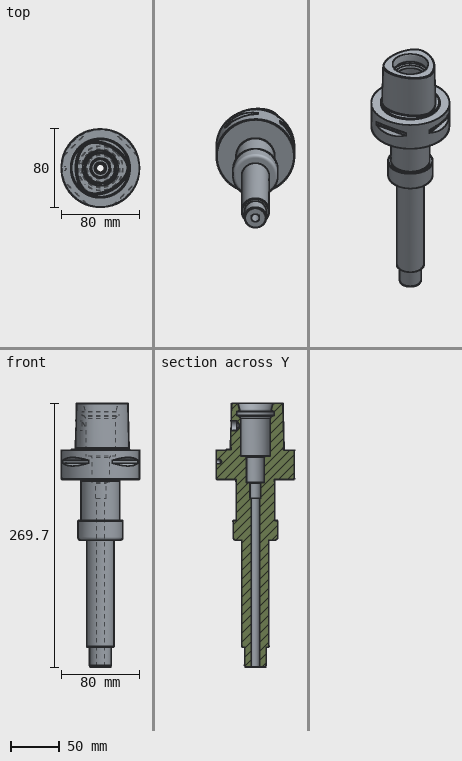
import cadquery as cq
import math

TOTAL_LENGTH = 269.7
TIP_TOP = 20.2
COLLAR_BOTTOM = 129.5
COLLAR_TOP = 150.0
FLANGE_BOTTOM = 191.5
FLANGE_TOP = 221.7
RAISED_FACE_HEIGHT = 0.8
RAISED_FACE_TOP = FLANGE_TOP + RAISED_FACE_HEIGHT
POLYGON_BOTTOM = 223.9

TIP_DIAMETER = 22.5
SHANK_DIAMETER = 28.3
COLLAR_DIAMETER = 46.0
NECK_DIAMETER = 40.0
FLANGE_DIAMETER = 80.0
RAISED_BASE_DIAMETER = 61.0
RAISED_FACE_DIAMETER = 58.5

SMALL_CHAMFER = 0.8
TIP_CHAMFER_HEIGHT = 1.5
COLLAR_FILLET = 3.2
NECK_RELIEF_HEIGHT = 1.5
NECK_RELIEF_DEPTH = 0.3

POLYGON_WIDTH = 55.0
POLYGON_RADIUS = POLYGON_WIDTH / 2
LOBE_COUNT = 3
LOBE_PITCH = 360 / LOBE_COUNT
LOBE_HEIGHT = 2.0
TAPER = 1 / 20
LOBE_HALF_ANGLE = 26.5
UNDERCUT_DEPTH = 0.67
FACE_POINTS = 12

MOUTH_DIAMETER = 36.5
LEAD_IN_DIAMETER = 35.0
LEAD_IN_TOP = 1.0
LIP_DIAMETER = 32.0
LIP_TOP = 6.5
LIP_BOTTOM = 8.0
CLAMP_GROOVE_DIAMETER = 38.0
CLAMP_GROOVE_TOP = 8.5
CLAMP_GROOVE_BOTTOM = 12.5
SEAT_DIAMETER = 33.2
SEAT_TOP = 13.2
INNER_DIAMETER = 30.0
INNER_TOP = 15.5
INNER_DEPTH = 54.0
THREAD_DIAMETER = 17.8
THREAD_CHAMFER = 1.3
THREAD_DEPTH = 81.0
PILOT_DIAMETER = 10.5
PILOT_CHAMFER = 0.8
PILOT_DEPTH = 97.0
COOLANT_DIAMETER = 8.4

GROOVE_LEVEL = 209.8
GROOVE_FLOOR_SPACING = 71.0
GROOVE_FLOOR_DISTANCE = GROOVE_FLOOR_SPACING / 2
GROOVE_FLOOR_WIDTH = 3.2
GROOVE_WALL_HEIGHT = 0.5
GROOVE_SIDE_ANGLE = 35
GROOVE_COUNT = 4
FIRST_GROOVE_DIRECTION = 45
DRILL_POINT_ANGLE = 118
SIDE_HOLE_DIAMETER = 9.7
SIDE_HOLE_LEVEL = 246.8
SIDE_HOLE_DEPTH = 6.0
PIN_HOLE_DIAMETER = 4.0
PIN_HOLE_LEVEL = GROOVE_LEVEL
PIN_HOLE_DEPTH = 4.0


def revolve_profile(points):
    """Turn a closed (radius, z) outline around the Z axis."""
    return cq.Workplane("XZ").polyline(points).close().revolve(360, (0, 0, 0), (0, 1, 0))


def spindle():
    tip = TIP_DIAMETER / 2
    shank = SHANK_DIAMETER / 2
    neck = NECK_DIAMETER / 2
    relief = neck - NECK_RELIEF_DEPTH
    flange = FLANGE_DIAMETER / 2
    c = SMALL_CHAMFER
    return revolve_profile([
        (0, 0),
        (tip - c, 0),
        (tip, TIP_CHAMFER_HEIGHT),
        (tip, TIP_TOP),
        (shank - c, TIP_TOP),
        (shank, TIP_TOP + c),
        (shank, COLLAR_TOP),
        (neck, COLLAR_TOP),
        (neck, FLANGE_BOTTOM - NECK_RELIEF_HEIGHT),
        (relief, FLANGE_BOTTOM - NECK_RELIEF_HEIGHT),
        (relief, FLANGE_BOTTOM),
        (flange - c, FLANGE_BOTTOM),
        (flange, FLANGE_BOTTOM + c),
        (flange, FLANGE_TOP),
        (RAISED_BASE_DIAMETER / 2, FLANGE_TOP),
        (RAISED_FACE_DIAMETER / 2, RAISED_FACE_TOP),
        (0, RAISED_FACE_TOP),
    ])


def collar():
    ring = cq.Workplane("XY", origin=(0, 0, COLLAR_BOTTOM)).circle(COLLAR_DIAMETER / 2)
    ring = ring.extrude(COLLAR_TOP - COLLAR_BOTTOM)
    ring = ring.faces("<Z").edges().fillet(COLLAR_FILLET)
    return ring.faces(">Z").edges().chamfer(SMALL_CHAMFER)


def polygon_point(radius, normal_angle, z):
    """Point of the constant-width lobed curve where its outward normal has the given angle."""
    t = math.radians(normal_angle)
    support = radius + LOBE_HEIGHT * math.cos(LOBE_COUNT * t)
    slope = -LOBE_COUNT * LOBE_HEIGHT * math.sin(LOBE_COUNT * t)
    x = support * math.cos(t) - slope * math.sin(t)
    y = support * math.sin(t) + slope * math.cos(t)
    return cq.Vector(x, y, z)


def polygon_wire(radius, z):
    edges = []
    for lobe in range(LOBE_COUNT):
        lobe_start = LOBE_PITCH * lobe - LOBE_HALF_ANGLE
        lobe_end = LOBE_PITCH * lobe + LOBE_HALF_ANGLE
        for start, end in ((lobe_start, lobe_end), (lobe_end, lobe_start + LOBE_PITCH)):
            step = (end - start) / FACE_POINTS
            points = [polygon_point(radius, start + step * i, z) for i in range(FACE_POINTS + 1)]
            edges.append(cq.Edge.makeSpline(points))
    return cq.Wire.assembleEdges(edges)


def polygon_section(bottom_radius, bottom, top_radius, top):
    wires = [polygon_wire(bottom_radius, bottom), polygon_wire(top_radius, top)]
    return cq.Workplane(cq.Solid.makeLoft(wires, True))


def polygon_taper():
    chamfer_level = TOTAL_LENGTH - SMALL_CHAMFER
    top_radius = POLYGON_RADIUS - TAPER / 2 * (chamfer_level - POLYGON_BOTTOM)
    undercut_radius = POLYGON_RADIUS - UNDERCUT_DEPTH
    undercut = polygon_section(undercut_radius, FLANGE_TOP, undercut_radius, POLYGON_BOTTOM)
    taper = polygon_section(POLYGON_RADIUS, POLYGON_BOTTOM, top_radius, chamfer_level)
    chamfer = polygon_section(top_radius, chamfer_level, top_radius - SMALL_CHAMFER, TOTAL_LENGTH)
    return undercut.union(taper).union(chamfer)


def bore():
    steps = [
        (MOUTH_DIAMETER / 2, 0),
        (LEAD_IN_DIAMETER / 2, LEAD_IN_TOP),
        (LIP_DIAMETER / 2, LIP_TOP),
        (LIP_DIAMETER / 2, LIP_BOTTOM),
        (CLAMP_GROOVE_DIAMETER / 2, CLAMP_GROOVE_TOP),
        (CLAMP_GROOVE_DIAMETER / 2, CLAMP_GROOVE_BOTTOM),
        (SEAT_DIAMETER / 2, SEAT_TOP),
        (INNER_DIAMETER / 2, INNER_TOP),
        (INNER_DIAMETER / 2, INNER_DEPTH),
        (THREAD_DIAMETER / 2 + THREAD_CHAMFER, INNER_DEPTH),
        (THREAD_DIAMETER / 2, INNER_DEPTH + THREAD_CHAMFER),
        (THREAD_DIAMETER / 2, THREAD_DEPTH),
        (PILOT_DIAMETER / 2 + PILOT_CHAMFER, THREAD_DEPTH),
        (PILOT_DIAMETER / 2, THREAD_DEPTH + PILOT_CHAMFER),
        (PILOT_DIAMETER / 2, PILOT_DEPTH),
        (COOLANT_DIAMETER / 2, PILOT_DEPTH),
        (COOLANT_DIAMETER / 2, TOTAL_LENGTH),
    ]
    outline = [(radius, TOTAL_LENGTH - depth) for radius, depth in steps]
    return revolve_profile([(0, TOTAL_LENGTH)] + outline + [(0, 0)])


def gripper_groove(direction):
    """Straight groove with sloping sides across the flange rim, facing the given angle around Z."""
    outer = FLANGE_DIAMETER / 2
    wall_top = GROOVE_FLOOR_DISTANCE + GROOVE_WALL_HEIGHT
    half_floor = GROOVE_FLOOR_WIDTH / 2
    half_mouth = half_floor + (outer - wall_top) * math.tan(math.radians(GROOVE_SIDE_ANGLE))
    outline = [
        (GROOVE_FLOOR_DISTANCE, GROOVE_LEVEL - half_floor),
        (wall_top, GROOVE_LEVEL - half_floor),
        (outer, GROOVE_LEVEL - half_mouth),
        (outer, GROOVE_LEVEL + half_mouth),
        (wall_top, GROOVE_LEVEL + half_floor),
        (GROOVE_FLOOR_DISTANCE, GROOVE_LEVEL + half_floor),
    ]
    cutter = cq.Workplane("XZ").polyline(outline).close().extrude(outer, both=True)
    return cutter.rotate((0, 0, 0), (0, 0, 1), direction)


def drilled_recess(diameter, surface_distance, depth, level):
    """Blind hole with a drill point, entering from -X; surface_distance is measured from the axis."""
    radius = diameter / 2
    outer = FLANGE_DIAMETER / 2
    floor = surface_distance - depth
    point_length = radius / math.tan(math.radians(DRILL_POINT_ANGLE / 2))
    outline = [
        (-outer, level),
        (-outer, level + radius),
        (-floor, level + radius),
        (point_length - floor, level),
    ]
    return cq.Workplane("XZ").polyline(outline).close().revolve(360, (0, level, 0), (1, level, 0))


result = spindle().union(collar()).union(polygon_taper()).cut(bore())

for index in range(GROOVE_COUNT):
    result = result.cut(gripper_groove(FIRST_GROOVE_DIRECTION + index * 360 / GROOVE_COUNT))

polygon_flat_distance = (
    POLYGON_RADIUS - LOBE_HEIGHT - TAPER / 2 * (SIDE_HOLE_LEVEL - POLYGON_BOTTOM)
)
result = result.cut(
    drilled_recess(SIDE_HOLE_DIAMETER, polygon_flat_distance, SIDE_HOLE_DEPTH, SIDE_HOLE_LEVEL)
)
result = result.cut(
    drilled_recess(PIN_HOLE_DIAMETER, FLANGE_DIAMETER / 2, PIN_HOLE_DEPTH, PIN_HOLE_LEVEL)
)